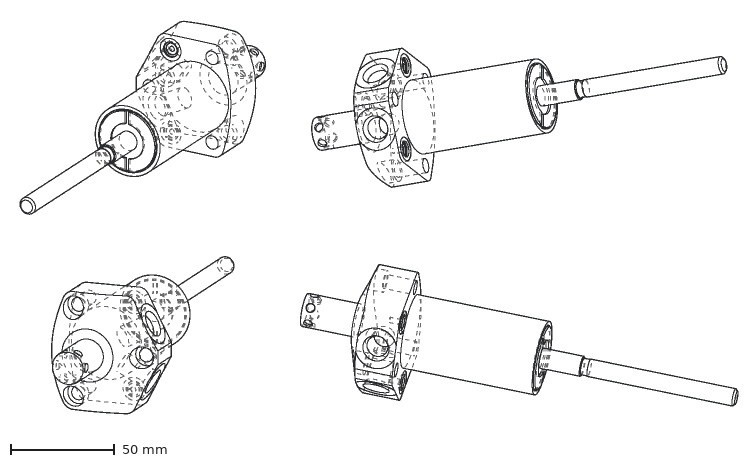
import cadquery as cq
import math


total_length = 215.3
head_thickness = 26.0
pin_length = 26.7
barrel_length = 65.7
rod_tip_y = head_thickness + pin_length - total_length

head_height = 58.5
head_left = 33.4
head_right = 19.4
nose_half_height = 3.5
slant_angle = 62.4
bulge_top_x = 13.5
corner_fillet = 5.2

cone_flat_radius = 13.1
cone_angle = 20.4

mount_hole_radius = 3.5
counterbore_radius = 5.4
counterbore_floor_y = 15.0
nose_hole_x = -26.0
side_hole_x = 8.8
side_hole_z = 22.0

seal_x = -14.2
seal_z = 21.5
seal_outer_radius = 5.8
seal_inner_radius = 3.9
seal_protrusion = 0.6
seal_bore_steps = [(seal_inner_radius, 0.9), (3.0, 1.3), (1.3, 6.5)]

port_y = 9.7
port_spot_radius = 10.3
port_spot_depth = 0.1
port_radius = 5.2
port_mouth_radius = 6.5
port_mouth_depth = 3.0
port_depth = 17.7

barrel_radius = 18.0
plug_radius = 15.5
plug_protrusion = 0.6
ring_groove_width = 0.6
ring_groove_depth = 0.6
hub_radius = 9.0
spoke_slot_width = 2.0
face_recess = 1.0

rod_base_radius = 5.0
rod_base_end_y = -85.5
rod_base_chamfer = 0.5
rod_radius = 4.3
rod_neck_radius = 4.0
rod_neck_end_y = -89.2
rod_tip_chamfer = 1.0

pin_radius = 8.2
pin_taper_length = 0.9
pin_taper_drop = 0.2
dimple_count = 6
dimple_radius = 2.2
dimple_wall_depth = 1.5
dimple_depth = 3.7
dimple_inset = 3.9


def turned(points):
    """Revolve a closed (radius, y) profile about the Y axis."""
    return cq.Workplane("XY").polyline(points).close().revolve(360, (0, 0, 0), (0, 1, 0))


def disc(radius, y_from, y_to, x=0, z=0):
    """Cylinder parallel to Y between two Y positions."""
    return (
        cq.Workplane("XZ", origin=(0, y_from, 0))
        .center(x, z)
        .circle(radius)
        .extrude(y_from - y_to)
    )


def make_head():
    top = head_height / 2
    slant_run = (top - nose_half_height) / math.tan(math.radians(slant_angle))
    slant_top_x = slant_run - head_left
    plate = (
        cq.Workplane("XZ")
        .moveTo(-head_left, nose_half_height)
        .lineTo(slant_top_x, top)
        .lineTo(bulge_top_x, top)
        .threePointArc((head_right, 0), (bulge_top_x, -top))
        .lineTo(slant_top_x, -top)
        .lineTo(-head_left, -nose_half_height)
        .close()
        .extrude(-head_thickness)
    )
    plate = plate.edges("|Y").edges(">Z or <Z").fillet(corner_fillet)
    reach = head_height
    cone_drop = (reach - cone_flat_radius) * math.tan(math.radians(cone_angle))
    envelope = turned([
        (0, 0),
        (reach, 0),
        (reach, head_thickness - cone_drop),
        (cone_flat_radius, head_thickness),
        (0, head_thickness),
    ])
    return plate.intersect(envelope)


def make_port(side):
    """Cutter for a flared port, normal to the slanted side (side is +1 for upper, -1 for lower)."""
    slant = math.radians(slant_angle)
    normal_x = -math.sin(slant)
    normal_z = math.cos(slant)
    face_distance = -head_left * normal_x + nose_half_height * normal_z
    plane = cq.Plane(
        origin=(face_distance * normal_x, port_y, side * face_distance * normal_z),
        xDir=(0, 1, 0),
        normal=(normal_x, 0, side * normal_z),
    )
    spot = cq.Workplane(plane).circle(port_spot_radius).extrude(-port_spot_depth)
    bore = cq.Workplane(plane).circle(port_radius).extrude(-port_depth)
    mouth = (
        cq.Workplane(plane)
        .workplane(offset=-port_spot_depth)
        .circle(port_mouth_radius)
        .workplane(offset=-port_mouth_depth)
        .circle(port_radius)
        .loft()
    )
    return spot.union(bore).union(mouth)


def make_seal(z):
    """Round-section ring partly sunk in the front face."""
    section_radius = (seal_outer_radius - seal_inner_radius) / 2
    ring_radius = (seal_outer_radius + seal_inner_radius) / 2
    ring = cq.Solid.makeTorus(
        ring_radius,
        section_radius,
        pnt=cq.Vector(seal_x, section_radius - seal_protrusion, z),
        dir=cq.Vector(0, 1, 0),
    )
    return cq.Workplane(ring)


def make_seal_bore(z):
    bore = cq.Workplane()
    for radius, floor_y in seal_bore_steps:
        bore = bore.union(disc(radius, -seal_protrusion, floor_y, seal_x, z))
    return bore


def make_barrel():
    plug_face = -barrel_length - plug_protrusion
    groove_radius = plug_radius + ring_groove_width
    groove_floor = -barrel_length + ring_groove_depth
    barrel = turned([
        (0, 0),
        (barrel_radius, 0),
        (barrel_radius, -barrel_length),
        (groove_radius, -barrel_length),
        (groove_radius, groove_floor),
        (plug_radius, groove_floor),
        (plug_radius, plug_face),
        (hub_radius, plug_face),
        (hub_radius, plug_face + face_recess),
        (0, plug_face + face_recess),
    ])
    slots = (
        cq.Workplane("XZ", origin=(0, plug_face, 0))
        .rect(spoke_slot_width, 2 * plug_radius)
        .extrude(-face_recess)
    )
    return barrel.cut(slots)


def make_rod():
    return turned([
        (0, 0),
        (rod_base_radius, 0),
        (rod_base_radius, rod_base_end_y),
        (rod_base_radius - rod_base_chamfer, rod_base_end_y - rod_base_chamfer),
        (rod_neck_radius, rod_base_end_y - rod_base_chamfer),
        (rod_neck_radius, rod_neck_end_y),
        (rod_radius, rod_neck_end_y),
        (rod_radius, rod_tip_y + rod_tip_chamfer),
        (rod_radius - rod_tip_chamfer, rod_tip_y),
        (0, rod_tip_y),
    ])


def make_pin():
    pin_end = head_thickness + pin_length
    pin = turned([
        (0, 0),
        (pin_radius, 0),
        (pin_radius, pin_end - pin_taper_length),
        (pin_radius - pin_taper_drop, pin_end),
        (0, pin_end),
    ])
    dimple = (
        cq.Workplane("XY", origin=(pin_radius, pin_end - dimple_inset, 0))
        .polyline([
            (-dimple_depth, 0),
            (-dimple_wall_depth, dimple_radius),
            (0, dimple_radius),
            (0, 0),
        ])
        .close()
        .revolve(360, (0, 0, 0), (1, 0, 0))
    )
    for index in range(dimple_count):
        pin = pin.cut(dimple.rotate((0, 0, 0), (0, 1, 0), index * 360 / dimple_count))
    return pin


result = make_head().union(make_barrel()).union(make_rod()).union(make_pin())

for side in (1, -1):
    result = result.cut(make_seal_bore(side * seal_z))
    result = result.union(make_seal(side * seal_z))
    result = result.cut(make_port(side))

mount_holes = [(nose_hole_x, 0), (side_hole_x, side_hole_z), (side_hole_x, -side_hole_z)]
for hole_x, hole_z in mount_holes:
    result = result.cut(disc(mount_hole_radius, 0, head_thickness, hole_x, hole_z))
    result = result.cut(disc(counterbore_radius, counterbore_floor_y, head_thickness, hole_x, hole_z))